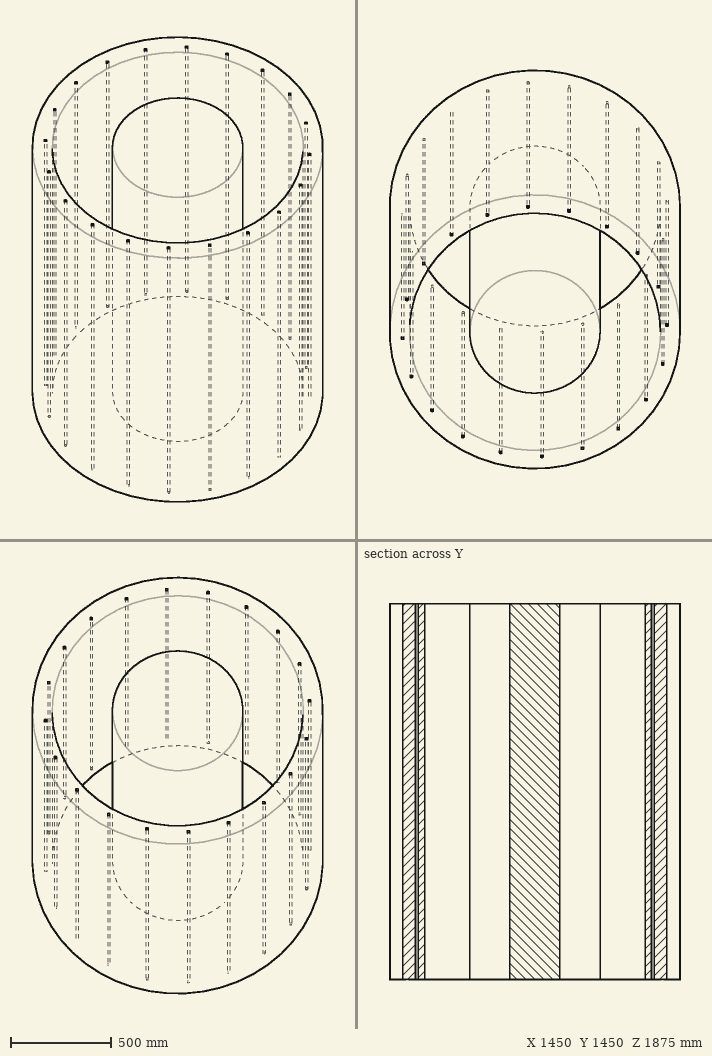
import cadquery as cq

height = 1875.0
edge_radius = 2.0

housing_diameter = 1450.0
bore_diameter = 1250.0

hole_diameter = 12.0
hole_count = 20
hole_circle_diameter = 1320.0
first_hole_angle = 360 / hole_count / 2

core_diameter = 650.0


def rounded_cylinder(diameter):
    """Upright cylinder with both end edges rounded."""
    return cq.Workplane("XY").circle(diameter / 2).extrude(height).edges("%CIRCLE").fillet(edge_radius)


def make_housing():
    """Tube with rounded rims and a circle of axial through holes."""
    tube = (
        cq.Workplane("XY")
        .circle(housing_diameter / 2)
        .circle(bore_diameter / 2)
        .extrude(height)
        .edges("%CIRCLE")
        .fillet(edge_radius)
    )
    holes = (
        cq.Workplane("XY")
        .polarArray(hole_circle_diameter / 2, first_hole_angle, 360, hole_count)
        .circle(hole_diameter / 2)
        .extrude(height)
    )
    return tube.cut(holes)


housing = make_housing()
core = rounded_cylinder(core_diameter)

result = cq.Compound.makeCompound([housing.val(), core.val()])